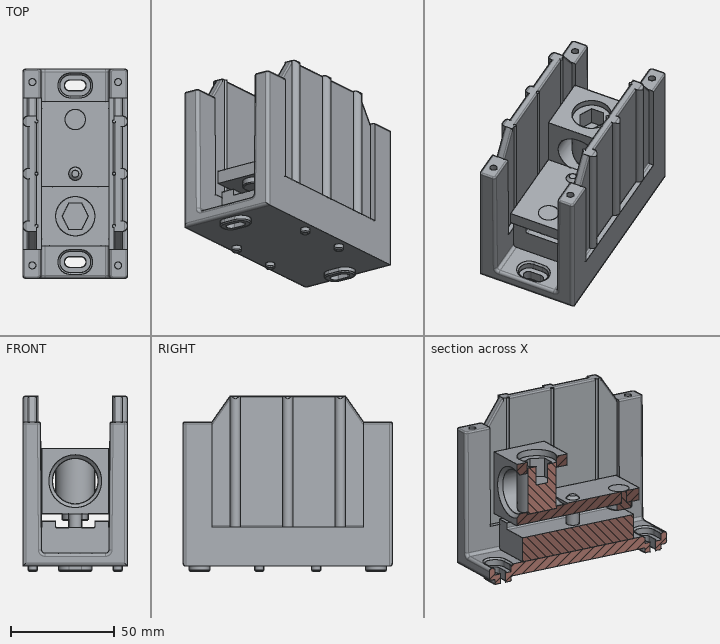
import cadquery as cq
import math

WIDTH = 50.8
LENGTH = 101.6
TOP = 82.55
POST_TOP = 69.85
EDGE_RADIUS = 1.524
SMALL_RADIUS = 0.762
FLOOR_TOP = 6.35
CAVITY_WIDTH = 32.512
WALL_DRAFT = 0.5

PANEL_HALF_LENGTH = 36.83
PANEL_TOP_HALF_LENGTH = 27.94
PANEL_BOTTOM = 19.05
PANEL_OUTER = 22.86
PANEL_INNER = 18.8
RIB_PITCH = 25.4
OUTER_RIB_RADIUS = WIDTH / 2 - PANEL_OUTER
INNER_RIB_RADIUS = 0.762

POST_HOLE_DIAMETER = 3.4
POST_HOLE_DEPTH = 12.7
POST_HOLE_X = 20.8
POST_HOLE_Y = 44.45

SLOT_Y = 42.8
SLOT_LENGTH = 10.4
SLOT_WIDTH = 5.1
COUNTERBORE_LENGTH = 15.0
COUNTERBORE_WIDTH = 10.2
COUNTERBORE_DEPTH = 3.8
COUNTERBORE_CHAMFER = 0.9
COUNTERBORE_CHAMFER_ANGLE = 45
FOOT_HEIGHT = 2.54
FOOT_CHAMFER = 0.635
SLOT_FOOT_LENGTH = 16.3
SLOT_FOOT_WIDTH = 10.2
PEG_DIAMETER = 4.57
PEG_X = 20.6
PEG_Y = 13.8

SUPPORT_LENGTH = 63.5
SUPPORT_TOP = 21.9
SUPPORT_SLOT_WIDTH = 19.05
SUPPORT_SLOT_FLOOR = 18.7
SUPPORT_SLOT_RADIUS = 0.762

CONNECTOR_LENGTH = 69.85
CONNECTOR_BOTTOM = 25.4
LUG_HEIGHT = 31.75
LUG_LENGTH = 28.7
TONGUE_THICKNESS = 6.35
BORE_DIAMETER = 22.0
BORE_CHAMFER = 1.8

SCREW_DIAMETER = 19.05
SCREW_Y = -20.6
SCREW_RECESS = 3.175
SOCKET_WIDTH = 12.7
SOCKET_DEPTH = 9.5

PIN_DIAMETER = 6.4
PIN_TIP_DIAMETER = 3.4

RIVET_Y = 26.3
RIVET_DIAMETER = 9.9
RIVET_HEAD_DIAMETER = 12.7
RIVET_HEAD_HEIGHT = 3.175
RIVET_HEAD_CHAMFER = 0.5

SIDES = (-1, 1)
SELECTION_MARGIN = 1.0
CONNECTOR_FRONT = -CONNECTOR_LENGTH / 2
LUG_BACK = CONNECTOR_FRONT + LUG_LENGTH
LUG_TOP = CONNECTOR_BOTTOM + LUG_HEIGHT
TONGUE_TOP = CONNECTOR_BOTTOM + TONGUE_THICKNESS
BORE_Z = CONNECTOR_BOTTOM + LUG_HEIGHT / 2
SCREW_BOTTOM = BORE_Z - BORE_DIAMETER / 2
SCREW_TOP = LUG_TOP - SCREW_RECESS


def box_between(x0, x1, y0, y1, z0, z1):
    """Box spanning the given limits."""
    return cq.Workplane("XY").box(x1 - x0, y1 - y0, z1 - z0, centered=False).translate((x0, y0, z0))


def cylinder(diameter, x, y, z0, z1):
    """Upright cylinder from z0 to z1."""
    return cq.Workplane("XY", origin=(x, y, z0)).circle(diameter / 2).extrude(z1 - z0)


def obround(length, width, y, z0, z1):
    """Upright obround, long in X, from z0 to z1."""
    return cq.Workplane("XY", origin=(0, y, z0)).slot2D(length, width).extrude(z1 - z0)


def channel():
    """U-shaped channel with four full-height corner posts."""
    body = box_between(-WIDTH / 2, WIDTH / 2, -LENGTH / 2, LENGTH / 2, 0, POST_TOP)
    body = body.edges("|Z or (<Z and |X)").fillet(EDGE_RADIUS)
    half_floor = CAVITY_WIDTH / 2
    half_top = half_floor + (POST_TOP - FLOOR_TOP) * math.tan(math.radians(WALL_DRAFT))
    cavity = (
        cq.Workplane("XZ")
        .polyline(
            [
                (-half_floor, FLOOR_TOP),
                (half_floor, FLOOR_TOP),
                (half_top, POST_TOP),
                (-half_top, POST_TOP),
            ]
        )
        .close()
        .extrude(LENGTH / 2, both=True)
        .edges("|Y and <Z")
        .fillet(EDGE_RADIUS)
    )
    body = body.cut(cavity)
    opening = cq.selectors.BoxSelector(
        (-WIDTH / 2 + 2 * EDGE_RADIUS, -LENGTH, FLOOR_TOP - SELECTION_MARGIN),
        (WIDTH / 2 - 2 * EDGE_RADIUS, LENGTH, POST_TOP - SELECTION_MARGIN),
    )
    body = body.faces("<Y or >Y").edges(opening).fillet(EDGE_RADIUS)
    return body.faces(">Z").edges().fillet(SMALL_RADIUS)


def panel_blank():
    """Panel silhouette with sloping shoulders, before its top edges are rounded."""
    return (
        cq.Workplane("YZ", origin=(PANEL_INNER, 0, 0))
        .polyline(
            [
                (-PANEL_HALF_LENGTH, PANEL_BOTTOM),
                (PANEL_HALF_LENGTH, PANEL_BOTTOM),
                (PANEL_HALF_LENGTH, POST_TOP),
                (PANEL_TOP_HALF_LENGTH, TOP),
                (-PANEL_TOP_HALF_LENGTH, TOP),
                (-PANEL_HALF_LENGTH, POST_TOP),
            ]
        )
        .close()
        .extrude(PANEL_OUTER - PANEL_INNER)
    )


def outer_rib(y):
    """Half-round rib on the outside of the +X panel, its top edge rounded."""
    envelope = box_between(PANEL_INNER, WIDTH / 2, -LENGTH / 2, LENGTH / 2, PANEL_BOTTOM, TOP)
    envelope = envelope.edges(">X and >Z").fillet(EDGE_RADIUS)
    return cylinder(2 * OUTER_RIB_RADIUS, PANEL_OUTER, y, PANEL_BOTTOM, TOP).intersect(envelope)


def inner_rib(y):
    """Slim half-round rib on the inside of the +X panel."""
    return cylinder(2 * INNER_RIB_RADIUS, PANEL_INNER, y, PANEL_BOTTOM, TOP)


def ribbed_panel():
    """Side panel of the +X wall with three ribs on each face."""
    blank = panel_blank()
    shoulder = cq.selectors.BoxSelector((0, -LENGTH, POST_TOP), (WIDTH, LENGTH, TOP + SELECTION_MARGIN))
    panel = blank.faces("<X or >X").edges(shoulder).fillet(SMALL_RADIUS)
    for y in (-RIB_PITCH, 0, RIB_PITCH):
        panel = panel.union(outer_rib(y)).union(inner_rib(y))
    for y0, y1 in ((-PANEL_TOP_HALF_LENGTH, -RIB_PITCH), (RIB_PITCH, PANEL_TOP_HALF_LENGTH)):
        sharp_zone = box_between(0, WIDTH / 2, y0, y1, POST_TOP, TOP)
        panel = panel.union(blank.intersect(sharp_zone))
    return panel


def root_fillet(face_x, outward, y0, y1):
    """Concave fillet between a panel face and its ledge; outward is the X sense of the face."""
    tip_x = face_x + outward * SMALL_RADIUS
    return (
        cq.Workplane("XZ", origin=(0, y1, 0))
        .moveTo(face_x, PANEL_BOTTOM)
        .lineTo(tip_x, PANEL_BOTTOM)
        .radiusArc((face_x, PANEL_BOTTOM + SMALL_RADIUS), outward * SMALL_RADIUS)
        .close()
        .extrude(y1 - y0)
    )


def root_fillets():
    """Root fillets at the stretches of ledge that have one."""
    end = PANEL_HALF_LENGTH
    stretches = [
        (PANEL_OUTER, 1, -end, 0),
        (PANEL_OUTER, 1, RIB_PITCH, end),
        (-PANEL_OUTER, -1, -end, -RIB_PITCH),
        (-PANEL_OUTER, -1, RIB_PITCH, end),
        (PANEL_INNER, -1, 0, RIB_PITCH),
        (-PANEL_INNER, 1, 0, end),
    ]
    return [root_fillet(*stretch) for stretch in stretches]


def feet():
    """Obround feet around the mounting slots and four round pegs, bevelled at the bottom."""
    shapes = []
    for sy in SIDES:
        shapes.append(obround(SLOT_FOOT_LENGTH, SLOT_FOOT_WIDTH, sy * SLOT_Y, -FOOT_HEIGHT, 0))
        for sx in SIDES:
            shapes.append(cylinder(PEG_DIAMETER, sx * PEG_X, sy * PEG_Y, -FOOT_HEIGHT, 0))
    return [shape.faces("<Z").chamfer(FOOT_CHAMFER) for shape in shapes]


def post_holes():
    """Blind holes down into the four posts."""
    bottom = POST_TOP - POST_HOLE_DEPTH
    return [
        cylinder(POST_HOLE_DIAMETER, sx * POST_HOLE_X, sy * POST_HOLE_Y, bottom, POST_TOP)
        for sx in SIDES
        for sy in SIDES
    ]


def mounting_slot(y):
    """Cutter for a through slot with a bevelled counterbore."""
    slot = obround(SLOT_LENGTH, SLOT_WIDTH, y, -FOOT_HEIGHT, FLOOR_TOP)
    counterbore = obround(
        COUNTERBORE_LENGTH, COUNTERBORE_WIDTH, y, FLOOR_TOP - COUNTERBORE_DEPTH, FLOOR_TOP
    )
    mouth = (
        cq.Workplane("XY", origin=(0, y, FLOOR_TOP))
        .slot2D(
            COUNTERBORE_LENGTH + 2 * COUNTERBORE_CHAMFER,
            COUNTERBORE_WIDTH + 2 * COUNTERBORE_CHAMFER,
        )
        .extrude(-COUNTERBORE_CHAMFER, taper=COUNTERBORE_CHAMFER_ANGLE)
    )
    return slot.union(counterbore).union(mouth)


def housing_body():
    """Channel whose side walls are thin ribbed panels between the posts."""
    recess = box_between(
        -WIDTH / 2, WIDTH / 2, -PANEL_HALF_LENGTH, PANEL_HALF_LENGTH, PANEL_BOTTOM, POST_TOP
    )
    panel = ribbed_panel()
    body = channel().cut(recess).union(panel).union(panel.mirror("YZ"))
    for added in root_fillets() + feet():
        body = body.union(added)
    for hole in post_holes():
        body = body.cut(hole)
    for sy in SIDES:
        body = body.cut(mounting_slot(sy * SLOT_Y))
    return body


def support_body():
    """Block with a wide shallow slot along its top."""
    half_length = SUPPORT_LENGTH / 2
    half_width = CAVITY_WIDTH / 2
    body = box_between(-half_width, half_width, -half_length, half_length, FLOOR_TOP, SUPPORT_TOP)
    body = body.edges("|Y and <Z").fillet(EDGE_RADIUS)
    half_slot = SUPPORT_SLOT_WIDTH / 2
    slot = box_between(-half_slot, half_slot, -half_length, half_length, SUPPORT_SLOT_FLOOR, SUPPORT_TOP)
    return body.cut(slot.edges("|Y and <Z").fillet(SUPPORT_SLOT_RADIUS))


def connector_body():
    """Bored lug and tongue in one piece, with holes for the screw, pin and rivet."""
    half_width = CAVITY_WIDTH / 2
    lug = box_between(-half_width, half_width, CONNECTOR_FRONT, LUG_BACK, CONNECTOR_BOTTOM, LUG_TOP)
    tongue = box_between(
        -half_width, half_width, LUG_BACK, -CONNECTOR_FRONT, CONNECTOR_BOTTOM, TONGUE_TOP
    )
    bore = (
        cq.Workplane("XZ", origin=(0, CONNECTOR_FRONT, BORE_Z))
        .circle(BORE_DIAMETER / 2)
        .extrude(-LUG_LENGTH)
    )
    mouth = cq.Workplane(
        cq.Solid.makeCone(
            BORE_DIAMETER / 2 + BORE_CHAMFER,
            BORE_DIAMETER / 2,
            BORE_CHAMFER,
            pnt=cq.Vector(0, CONNECTOR_FRONT, BORE_Z),
            dir=cq.Vector(0, 1, 0),
        )
    )
    return (
        lug.union(tongue)
        .cut(bore)
        .cut(mouth)
        .cut(cylinder(SCREW_DIAMETER, 0, SCREW_Y, SCREW_BOTTOM, LUG_TOP))
        .cut(cylinder(PIN_DIAMETER, 0, 0, CONNECTOR_BOTTOM, TONGUE_TOP))
        .cut(cylinder(RIVET_DIAMETER, 0, RIVET_Y, CONNECTOR_BOTTOM, TONGUE_TOP))
    )


def clamping_screw_body():
    """Headless screw with a six-sided socket as wide as it is long."""
    half = SOCKET_WIDTH / 2
    quarter = half / 2
    socket = (
        cq.Workplane("XY", origin=(0, SCREW_Y, SCREW_TOP))
        .polyline(
            [(half, 0), (quarter, half), (-quarter, half), (-half, 0), (-quarter, -half), (quarter, -half)]
        )
        .close()
        .extrude(-SOCKET_DEPTH)
    )
    return cylinder(SCREW_DIAMETER, 0, SCREW_Y, SCREW_BOTTOM, SCREW_TOP).cut(socket)


def pin_body():
    """Pin standing on the slot floor, its bevelled tip proud of the tongue."""
    tip = (PIN_DIAMETER - PIN_TIP_DIAMETER) / 2
    return cylinder(PIN_DIAMETER, 0, 0, SUPPORT_SLOT_FLOOR, TONGUE_TOP + tip).faces(">Z").chamfer(tip)


def rivet_body():
    """Rivet flush with the tongue, its head below."""
    head_bottom = CONNECTOR_BOTTOM - RIVET_HEAD_HEIGHT
    head = cylinder(RIVET_HEAD_DIAMETER, 0, RIVET_Y, head_bottom, CONNECTOR_BOTTOM)
    head = head.faces("<Z").chamfer(RIVET_HEAD_CHAMFER)
    return head.union(cylinder(RIVET_DIAMETER, 0, RIVET_Y, CONNECTOR_BOTTOM, TONGUE_TOP))


housing = housing_body()
support = support_body()
connector = connector_body()
clamping_screw = clamping_screw_body()
pin = pin_body()
rivet = rivet_body()

result = cq.Compound.makeCompound(
    [housing.val(), support.val(), connector.val(), clamping_screw.val(), pin.val(), rivet.val()]
)